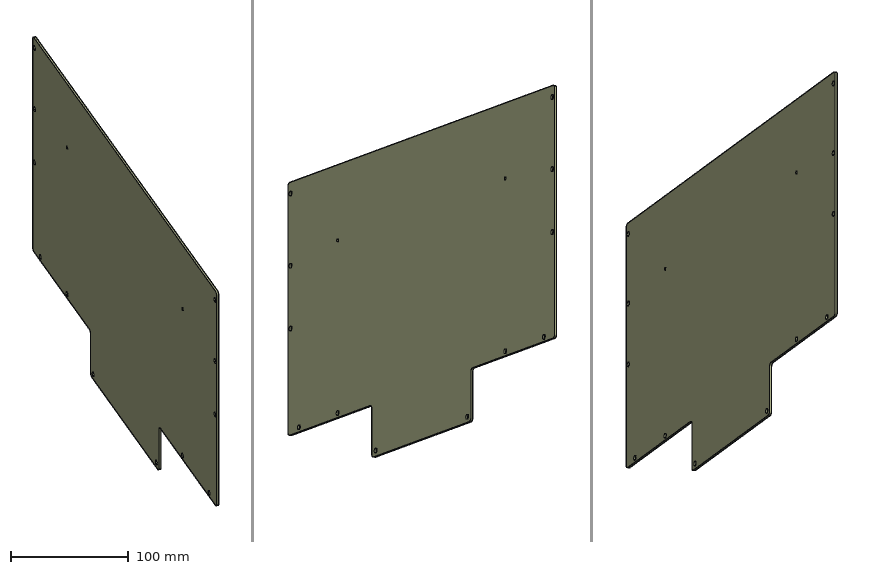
import cadquery as cq

thickness = 2.0
panel_width = 414.0
panel_height = 221.0
tab_width = 154.0
tab_height = 46.0
corner_radius = 3.0

mounting_diameter = 4.0
side_hole_inset = 4.0
side_hole_drops = (10.0, 73.0, 128.0)
lower_hole_inset = 4.0
lower_hole_offsets = (130.0, 190.0)
tab_hole_side_inset = 6.0
tab_hole_bottom_inset = 5.0

small_diameter = 2.5
small_hole_offset = lower_hole_offsets[0]
small_hole_drop = 66.0

total_height = panel_height + tab_height
top_z = total_height / 2
panel_bottom_z = top_z - panel_height
tab_bottom_z = top_z - total_height
half_panel = panel_width / 2
half_tab = tab_width / 2


def make_plate():
    """Panel and tab in one sheet, with every corner of the outline rounded."""
    outline = [
        (-half_panel, top_z),
        (half_panel, top_z),
        (half_panel, panel_bottom_z),
        (half_tab, panel_bottom_z),
        (half_tab, tab_bottom_z),
        (-half_tab, tab_bottom_z),
        (-half_tab, panel_bottom_z),
        (-half_panel, panel_bottom_z),
    ]
    sheet = cq.Workplane("XZ").polyline(outline).close().extrude(thickness / 2, both=True)
    return sheet.edges("|Y").fillet(corner_radius)


def make_hole_pins(right_side_points, diameter):
    """Cylinders through the sheet at the given (x, z) points and their mirror images."""
    points = [(side * x, z) for x, z in right_side_points for side in (-1, 1)]
    return cq.Workplane("XZ").pushPoints(points).circle(diameter / 2).extrude(thickness, both=True)


side_holes = [(half_panel - side_hole_inset, top_z - drop) for drop in side_hole_drops]
lower_holes = [(offset, panel_bottom_z + lower_hole_inset) for offset in lower_hole_offsets]
tab_holes = [(half_tab - tab_hole_side_inset, tab_bottom_z + tab_hole_bottom_inset)]
small_holes = [(small_hole_offset, top_z - small_hole_drop)]

result = make_plate()
result = result.cut(make_hole_pins(side_holes + lower_holes + tab_holes, mounting_diameter))
result = result.cut(make_hole_pins(small_holes, small_diameter))